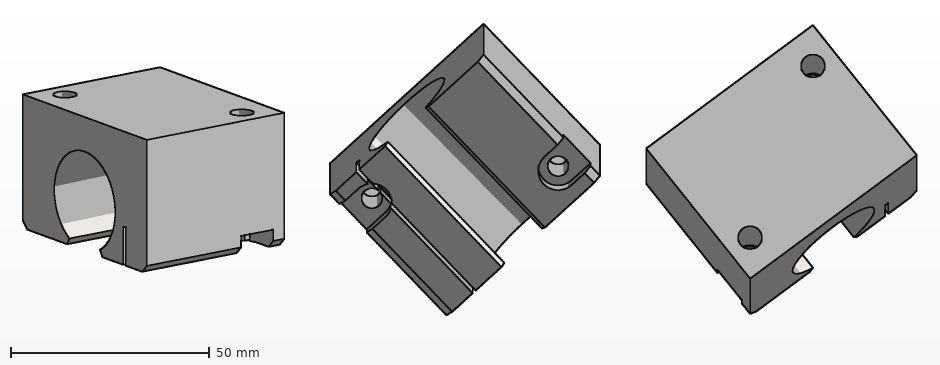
import cadquery as cq
import math

length = 53
width = 43.0
height = 35
bottom_chamfer = 2.0

bore_diameter = 25.95
bore_height = 13.0
mouth_half_angle = 30

slit_x = 16.9
slit_width = 1.0
slit_height = 10.0

screw_x = 20.0
screw_y = 13.0
screw_diameter = 5.2
upper_diameter = 6.0
upper_depth = 17.5
recess_width = 10.0
recess_height = 5.0


def make_block():
    block = cq.Workplane("XY").box(length, width, height, centered=(True, True, False))
    return block.faces("<Z").edges("|Y").chamfer(bottom_chamfer)


def make_bore():
    """Round bore with a wedge-shaped mouth whose walls point at the bore axis."""
    profile = cq.Workplane("XZ").center(0, bore_height)
    bore = profile.circle(bore_diameter / 2).extrude(width / 2, both=True)
    mouth_half_width = bore_height * math.tan(math.radians(mouth_half_angle))
    mouth = (
        profile.polyline([(0, 0), (-mouth_half_width, -bore_height), (mouth_half_width, -bore_height)])
        .close()
        .extrude(width / 2, both=True)
    )
    return bore.union(mouth)


def make_slit():
    slit = cq.Workplane("XY").box(slit_width, width, slit_height, centered=(True, True, False))
    return slit.translate((slit_x, 0, 0))


def make_screw_hole(side):
    """Stepped through hole with a round-ended recess open to the nearest X side."""
    axis = cq.Workplane("XY").center(side * screw_x, side * screw_y)
    through = axis.circle(screw_diameter / 2).extrude(height)
    upper = axis.workplane(offset=height - upper_depth).circle(upper_diameter / 2).extrude(upper_depth)
    recess_end = axis.circle(recess_width / 2).extrude(recess_height)
    reach = length / 2 - screw_x
    recess_exit = axis.center(side * reach / 2, 0).rect(reach, recess_width).extrude(recess_height)
    return through.union(upper).union(recess_end).union(recess_exit)


result = make_block().cut(make_bore()).cut(make_slit())
for side in (-1, 1):
    result = result.cut(make_screw_hole(side))